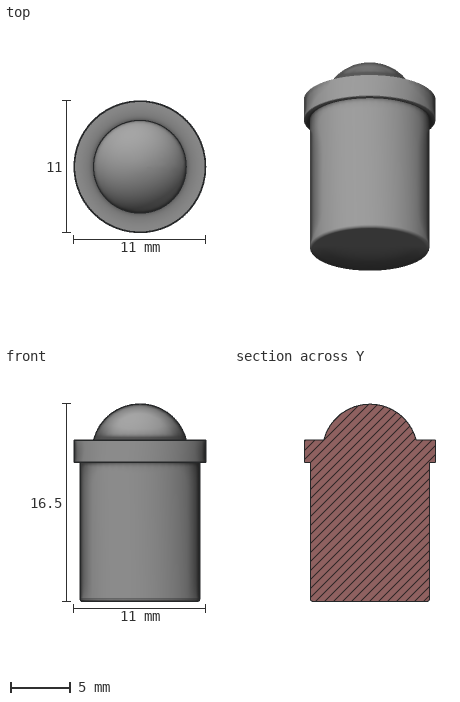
import cadquery as cq

body_diameter = 10.0
flange_diameter = 11.0
sleeve_length = 13.5
flange_thickness = 1.9
flange_edge_chamfer = 0.05
bottom_fillet_radius = 0.25

ball_diameter = 8.0
ball_protrusion = 3.0


def make_sleeve():
    """Cylindrical body from Z = 0 with a rounded foot."""
    return (
        cq.Workplane("XY")
        .circle(body_diameter / 2)
        .extrude(sleeve_length)
        .faces("<Z")
        .edges()
        .fillet(bottom_fillet_radius)
    )


def make_flange():
    """Collar flush with the top of the sleeve, with both rims broken."""
    return (
        cq.Workplane("XY")
        .workplane(offset=sleeve_length - flange_thickness)
        .circle(flange_diameter / 2)
        .extrude(flange_thickness)
        .edges()
        .chamfer(flange_edge_chamfer)
    )


def make_ball():
    """Ball sunk into the sleeve so that only its cap stands proud."""
    centre_height = sleeve_length + ball_protrusion - ball_diameter / 2
    return cq.Workplane("XY").sphere(ball_diameter / 2).translate((0, 0, centre_height))


result = make_sleeve().union(make_flange()).union(make_ball())